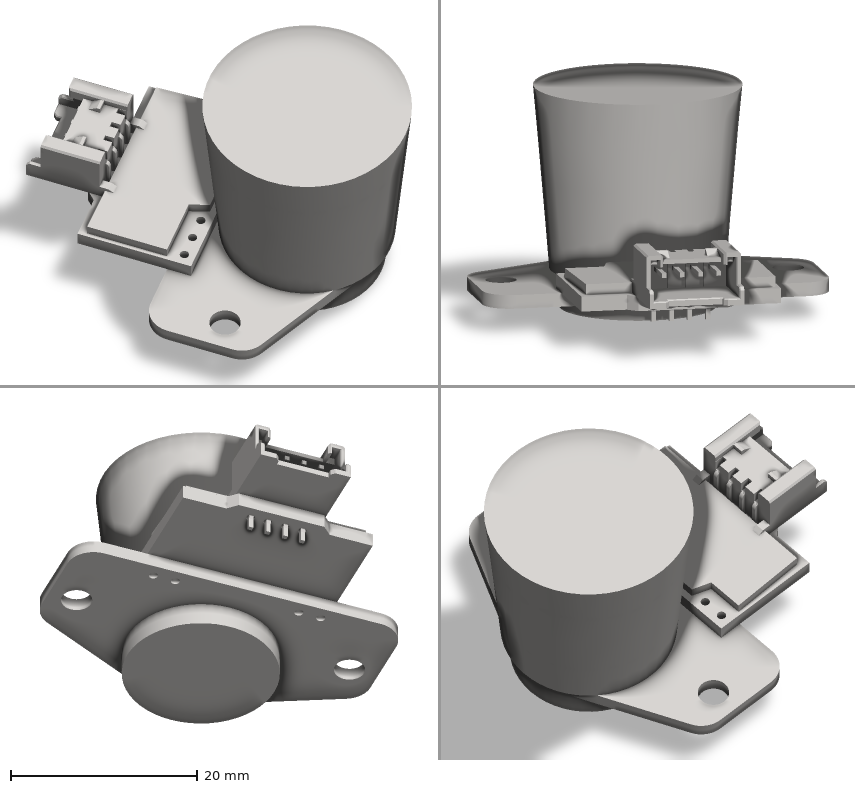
import cadquery as cq
import math


CUP_HEIGHT = 20.05
CUP_TOP_RADIUS = 11.25
CUP_BASE_RADIUS = 9.5
FLANGE_THICKNESS = 1.5
FLANGE_WIDTH = 38.0
FLANGE_HALF_WIDTH = FLANGE_WIDTH / 2
FLANGE_LEFT = -11.95
FLANGE_CORNER_X = 0.37
FLANGE_CORNER_RADIUS = 3.0
BOSS_DIAMETER = 17.0
BOSS_RADIUS = BOSS_DIAMETER / 2
BOSS_DEPTH = 2.65
MOUNT_HOLE_X = -3.55
MOUNT_HOLE_Y = 15.8
MOUNT_HOLE_DIAMETER = 3.35

BOARD_THICKNESS = 1.6
BOARD_LEFT = -22.25
BOARD_RIGHT = -9.22
BOARD_HALF_WIDTH = 10.95
LUG_LENGTH = 1.05
LUG_HALF_WIDTH = 4.95
LAYER_THICKNESS = 1.12
LAYER_OUTLINE = [
    (-21.27, -10.55),
    (-12.15, -10.55),
    (-12.15, -3.85),
    (-9.97, -3.1),
    (-9.97, 5.55),
    (-12.15, 6.3),
    (-12.15, 10.6),
    (-21.1, 10.22),
]
PAD_HOLE_X = -10.45
PAD_HOLE_DIAMETER = 1.0
PAD_PITCH = 2.55
INNER_PAD_Y = 4.6
THROUGH_PAD_YS = [side * (INNER_PAD_Y + n * PAD_PITCH) for side in (-1, 1) for n in (1, 2)]
BLIND_PAD_Y = -INNER_PAD_Y

SHELL_FRONT = -30.3
SHELL_WALL_FRONT = -28.63
SHELL_BACK = -21.85
SHELL_HALF_WIDTH = 5.2
SHELL_HEIGHT = 5.5
SHELL_WALL = 0.5
SHELL_EDGE_CHAMFER = 0.2
SILL_HEIGHT = 2.0
SILL_CHAMFER = 0.37
FLOOR_FRONT = -29.38
FLOOR_THICKNESS = 0.75
TAB_INNER_Y = 3.0
TAB_CHAMFER = 0.4
CAVITY_BACK = -23.25
CAVITY_TOP = 4.15
DECK_FRONT = -26.9
DECK_TOP = 4.6
HOOK_INNER_Y = 3.32
HOOK_THICKNESS = 0.37
HOOK_CHAMFER = 0.25
MOUTH_CHAMFER = 0.12
TOLERANCE = 0.005
GROOVE_WIDTH = 0.45
GROOVE_DEPTH = 0.2

WEDGE_START = -25.9
WEDGE_CREST = -24.9
WEDGE_END = -24.5
WEDGE_TOP = 5.25
WEDGE_INNER_Y = 2.08

FOOT_WIDTH = 1.0
FOOT_HEIGHT = 1.5
FOOT_FLAT_END = -20.8
FOOT_END = -20.2

CONTACT_COUNT = 4
CONTACT_PITCH = 2.0
CONTACT_SIZE = 0.5
CONTACT_TIP = -27.4
CONTACT_BACK = -21.5
CONTACT_TOP = 3.25
CONTACT_BEND_RADIUS = 0.62
TAIL_LENGTH = 1.5
KINK_DEPTH = 0.37
KINK_REACH = 0.12
NOTCH_FRONT = -22.9
NOTCH_WIDTH = 0.62
CONTACT_HOLE_X = -21.77
CONTACT_HOLE_DIAMETER = 0.9

CONTACT_YS = [(n - (CONTACT_COUNT - 1) / 2) * CONTACT_PITCH for n in range(CONTACT_COUNT)]
GROOVE_YS = [(low + high) / 2 for low, high in zip(CONTACT_YS, CONTACT_YS[1:])]


def block(x0, x1, y0, y1, z0, z1):
    """Box between opposite corners."""
    return cq.Workplane("XY").box(x1 - x0, y1 - y0, z1 - z0, centered=False).translate((x0, y0, z0))


def side_profile(points, y0, y1):
    """Outline in X and Z, extruded from y0 to y1."""
    return cq.Workplane("XZ", origin=(0, y1, 0)).polyline(points).close().extrude(y1 - y0)


def both_sides(body):
    """A body together with its mirror image across the XZ plane."""
    return body.union(body.mirror("XZ"))


def drill(points, diameter, z0, z1):
    """Round cutters on vertical axes from z0 to z1."""
    return cq.Workplane("XY", origin=(0, 0, z0)).pushPoints(points).circle(diameter / 2).extrude(z1 - z0)


def flange():
    """Flange whose slanted edges run tangent into the arc around the sensor axis."""
    corner_distance = math.hypot(FLANGE_CORNER_X, FLANGE_HALF_WIDTH)
    corner_angle = math.atan2(FLANGE_HALF_WIDTH, FLANGE_CORNER_X)
    tangent_angle = corner_angle - math.acos(BOSS_RADIUS / corner_distance)
    tangent_x = BOSS_RADIUS * math.cos(tangent_angle)
    tangent_y = BOSS_RADIUS * math.sin(tangent_angle)
    plate = (
        cq.Workplane("XY")
        .moveTo(FLANGE_LEFT, -FLANGE_HALF_WIDTH)
        .lineTo(FLANGE_CORNER_X, -FLANGE_HALF_WIDTH)
        .lineTo(tangent_x, -tangent_y)
        .threePointArc((BOSS_RADIUS, 0), (tangent_x, tangent_y))
        .lineTo(FLANGE_CORNER_X, FLANGE_HALF_WIDTH)
        .lineTo(FLANGE_LEFT, FLANGE_HALF_WIDTH)
        .close()
        .extrude(-FLANGE_THICKNESS)
    )
    outer_corners = plate.edges("|Z").edges("<Y or >Y")
    plate = outer_corners.fillet(FLANGE_CORNER_RADIUS)
    mounts = [(MOUNT_HOLE_X, -MOUNT_HOLE_Y), (MOUNT_HOLE_X, MOUNT_HOLE_Y)]
    pads = [(PAD_HOLE_X, y) for y in THROUGH_PAD_YS]
    plate = plate.cut(drill(mounts, MOUNT_HOLE_DIAMETER, -FLANGE_THICKNESS, 0))
    return plate.cut(drill(pads, PAD_HOLE_DIAMETER, -FLANGE_THICKNESS, 0))


def make_housing():
    boss_bottom = -FLANGE_THICKNESS - BOSS_DEPTH
    turned = (
        cq.Workplane("XZ")
        .polyline([
            (0, boss_bottom),
            (BOSS_RADIUS, boss_bottom),
            (BOSS_RADIUS, 0),
            (CUP_BASE_RADIUS, 0),
            (CUP_TOP_RADIUS, CUP_HEIGHT),
            (0, CUP_HEIGHT),
        ])
        .close()
        .revolve(360, (0, 0, 0), (0, 1, 0))
    )
    return turned.union(flange())


def shell_body():
    """Side outline of the shell, low at the front and tall behind, extruded solid."""
    outline = [
        (SHELL_FRONT, 0),
        (SHELL_BACK, 0),
        (SHELL_BACK, SHELL_HEIGHT),
        (SHELL_WALL_FRONT, SHELL_HEIGHT),
        (SHELL_WALL_FRONT, SILL_HEIGHT),
        (SHELL_FRONT + SILL_CHAMFER, SILL_HEIGHT),
        (SHELL_FRONT, SILL_HEIGHT - SILL_CHAMFER),
    ]
    return side_profile(outline, -SHELL_HALF_WIDTH, SHELL_HALF_WIDTH)


def floor_gap():
    """Gap in the front edge of the floor, between two tabs with beveled corners."""
    tab_corner_y = TAB_INNER_Y + TAB_CHAMFER
    return (
        cq.Workplane("XY")
        .polyline([
            (SHELL_FRONT, -tab_corner_y),
            (SHELL_FRONT + TAB_CHAMFER, -TAB_INNER_Y),
            (FLOOR_FRONT, -TAB_INNER_Y),
            (FLOOR_FRONT, TAB_INNER_Y),
            (SHELL_FRONT + TAB_CHAMFER, TAB_INNER_Y),
            (SHELL_FRONT, tab_corner_y),
        ])
        .close()
        .extrude(SILL_HEIGHT)
    )


def hook_opening():
    """Opening above the cavity and deck, widened at the front corners of the hooks."""
    wide_y = HOOK_INNER_Y + HOOK_CHAMFER
    opening = (
        cq.Workplane("XY", origin=(0, 0, CAVITY_TOP))
        .polyline([
            (SHELL_WALL_FRONT, -wide_y),
            (SHELL_WALL_FRONT + HOOK_CHAMFER, -HOOK_INNER_Y),
            (SHELL_BACK, -HOOK_INNER_Y),
            (SHELL_BACK, HOOK_INNER_Y),
            (SHELL_WALL_FRONT + HOOK_CHAMFER, HOOK_INNER_Y),
            (SHELL_WALL_FRONT, wide_y),
        ])
        .close()
        .extrude(SHELL_HEIGHT - CAVITY_TOP)
    )
    deck = block(DECK_FRONT, SHELL_BACK, -HOOK_INNER_Y, HOOK_INNER_Y, CAVITY_TOP, DECK_TOP)
    return opening.cut(deck)


def is_mouth_edge(edge):
    """True for the front edges of the cavity: along its floor and up its two side walls."""
    center = edge.Center()
    on_floor = abs(center.z - FLOOR_THICKNESS) < TOLERANCE
    on_wall = abs(abs(center.y) - (SHELL_HALF_WIDTH - SHELL_WALL)) < TOLERANCE
    on_front = center.x < SHELL_WALL_FRONT + TOLERANCE
    on_wall_corner = on_floor and on_wall
    return on_front and (on_floor or on_wall) and not on_wall_corner


def shell_cavity():
    """Plug cavity with grooves in its back wall and a channel behind each hook."""
    inner_y = SHELL_HALF_WIDTH - SHELL_WALL
    cavity = block(SHELL_FRONT, CAVITY_BACK, -inner_y, inner_y, FLOOR_THICKNESS, CAVITY_TOP)
    groove_back = CAVITY_BACK + GROOVE_DEPTH
    half = GROOVE_WIDTH / 2
    for y in GROOVE_YS:
        groove = block(CAVITY_BACK, groove_back, y - half, y + half, FLOOR_THICKNESS, CAVITY_TOP)
        cavity = cavity.union(groove)
    hook_outer_y = HOOK_INNER_Y + HOOK_THICKNESS
    channel = block(
        SHELL_WALL_FRONT, DECK_FRONT, hook_outer_y, inner_y, CAVITY_TOP, SHELL_HEIGHT - SHELL_WALL
    )
    return cavity.union(both_sides(channel))


def latch_wedges():
    outline = [
        (WEDGE_START, DECK_TOP),
        (WEDGE_CREST, WEDGE_TOP),
        (WEDGE_END, WEDGE_TOP),
        (WEDGE_END, DECK_TOP),
    ]
    return both_sides(side_profile(outline, WEDGE_INNER_Y, HOOK_INNER_Y))


def feet():
    outline = [
        (SHELL_BACK, 0),
        (FOOT_END, 0),
        (FOOT_END, LAYER_THICKNESS),
        (FOOT_FLAT_END, FOOT_HEIGHT),
        (SHELL_BACK, FOOT_HEIGHT),
    ]
    return both_sides(side_profile(outline, SHELL_HALF_WIDTH - FOOT_WIDTH, SHELL_HALF_WIDTH))


def contact(y):
    """Square bent contact: straight through the back wall, then down past the board."""
    inner_x = CONTACT_BACK - CONTACT_SIZE
    tail_bottom = -BOARD_THICKNESS - TAIL_LENGTH
    outline = [
        (CONTACT_TIP, CONTACT_TOP),
        (CONTACT_BACK, CONTACT_TOP),
        (CONTACT_BACK, tail_bottom),
        (inner_x, tail_bottom),
        (inner_x, CONTACT_TOP - CONTACT_SIZE),
        (CONTACT_TIP, CONTACT_TOP - CONTACT_SIZE),
    ]
    half = CONTACT_SIZE / 2
    pin = side_profile(outline, y - half, y + half)
    outer_bend = pin.faces(">Z").edges(">X")
    pin = outer_bend.fillet(CONTACT_BEND_RADIUS)
    inner_bend = pin.edges(cq.selectors.NearestToPointSelector((inner_x, y, CONTACT_TOP - CONTACT_SIZE)))
    pin = inner_bend.fillet(CONTACT_BEND_RADIUS - CONTACT_SIZE)
    kink = [
        (inner_x, -BOARD_THICKNESS),
        (inner_x - KINK_REACH, -BOARD_THICKNESS),
        (inner_x, -BOARD_THICKNESS - KINK_DEPTH),
    ]
    return pin.union(side_profile(kink, y - half, y + half))


def make_connector():
    shell = shell_body()
    shell = shell.cut(hook_opening())
    rail_edges = shell.faces(">Z").edges("|X")
    shell = rail_edges.chamfer(SHELL_EDGE_CHAMFER)
    shell = shell.cut(shell_cavity())
    shell = shell.cut(floor_gap())
    mouth_edges = shell.edges().filter(is_mouth_edge)
    shell = mouth_edges.chamfer(MOUTH_CHAMFER)
    shell = shell.union(latch_wedges())
    shell = shell.union(feet())
    half = NOTCH_WIDTH / 2
    for y in CONTACT_YS:
        shell = shell.cut(block(NOTCH_FRONT, SHELL_BACK, y - half, y + half, CONTACT_TOP, DECK_TOP))
        shell = shell.union(contact(y))
    return shell.translate((0, 0, BOARD_THICKNESS))


def make_board(housing, connector):
    """Board and raised layer, cleared where the cup and the connector feet go in."""
    lug_front = BOARD_LEFT - LUG_LENGTH
    lug_root = LUG_HALF_WIDTH + LUG_LENGTH
    board = (
        cq.Workplane("XY")
        .polyline([
            (lug_front, -LUG_HALF_WIDTH),
            (BOARD_LEFT, -lug_root),
            (BOARD_LEFT, -BOARD_HALF_WIDTH),
            (BOARD_RIGHT, -BOARD_HALF_WIDTH),
            (BOARD_RIGHT, BOARD_HALF_WIDTH),
            (BOARD_LEFT, BOARD_HALF_WIDTH),
            (BOARD_LEFT, lug_root),
            (lug_front, LUG_HALF_WIDTH),
        ])
        .close()
        .extrude(BOARD_THICKNESS)
    )
    pads = [(PAD_HOLE_X, y) for y in THROUGH_PAD_YS + [BLIND_PAD_Y]]
    contacts = [(CONTACT_HOLE_X, y) for y in CONTACT_YS]
    board = board.cut(drill(pads, PAD_HOLE_DIAMETER, 0, BOARD_THICKNESS))
    board = board.cut(drill(contacts, CONTACT_HOLE_DIAMETER, 0, BOARD_THICKNESS))
    layer = (
        cq.Workplane("XY", origin=(0, 0, BOARD_THICKNESS))
        .polyline(LAYER_OUTLINE)
        .close()
        .extrude(LAYER_THICKNESS)
    )
    return board.union(layer).cut(housing).cut(connector)


housing = make_housing()
connector = make_connector()
board = make_board(housing, connector)

result = cq.Compound.makeCompound([
    *housing.solids().vals(),
    *board.solids().vals(),
    *connector.solids().vals(),
])